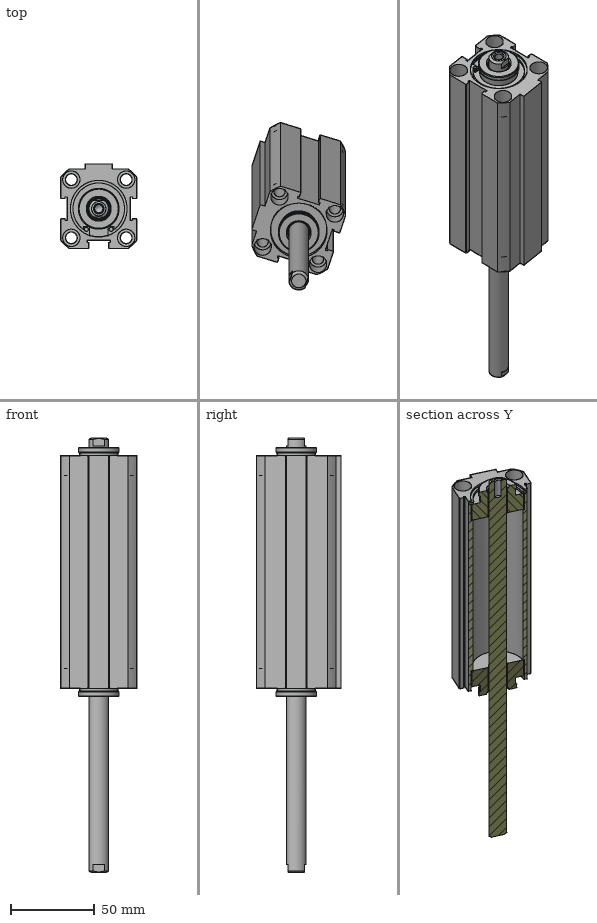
import cadquery as cq
import math


barrel_length = 140.0
half_width = 23.0
half_depth = 24.0
corner_cut = 5.4
corner_radius = math.hypot(half_width - corner_cut, half_depth)
rail_width = 16.5
rail_top = 27.0

slot_opening = 12.0
slot_undercut = 13.8
slot_chamfer = 0.4
slot_depth = 4.0
slot_lip = 2.8
port_slot_depth = 5.0
port_slot_lip = 3.8

mount_spacing_x = 33.0
mount_spacing_y = 35.0
mount_diameter = 6.9
counterbore_diameter = 10.4
counterbore_depth = 12.0

bore_diameter = 32.0
cover_seat_diameter = 34.1
cover_recess = 2.8
cover_thickness = 12.0

cover_diameter = 33.7
collar_diameter = 24.5
collar_neck_diameter = 23.0
collar_projection = 5.0
collar_lip_height = 3.4
collar_chamfer = 0.5
rod_hole_diameter = 12.54
seal_mouth_diameter = 15.0
seal_floor_diameter = 13.7
seal_depth = 1.5

ring_thickness = 1.5
ring_outer_diameter = 35.8
ring_inner_diameter = 31.0
ring_gap = 11.4
ear_width = 3.5
ear_inner_reach = 10.6
ear_hole_diameter = 2.5

rod_diameter = 12.0
rod_length = 261.5
rod_upper_projection = 10.7
rod_tip_diameter = 8.57
rod_chamfer_height = 1.0
flat_spacing = 10.0
flat_length = 4.8
bore_mouth_diameter = 6.25
bore_core_diameter = 4.92
bore_core_depth = 12.0
drill_point_angle = 118.0

seat_depth = cover_recess + cover_thickness


def cylinder(diameter, bottom, top):
    return cq.Workplane("XY").workplane(offset=bottom).circle(diameter / 2).extrude(top - bottom)


def block(x_range, y_range, bottom, top):
    """Upright box between two X limits, two Y limits and two heights."""
    return cq.Workplane("XY").box(
        x_range[1] - x_range[0], y_range[1] - y_range[0], top - bottom, centered=False
    ).translate((x_range[0], y_range[0], bottom))


def t_slot(face_distance, depth, lip, angle):
    """Full-length T-slot cutter, modelled on the -Y side and turned about Z."""
    opening = slot_opening / 2
    undercut = slot_undercut / 2
    floor = -face_distance + depth
    mouth = block((-opening, opening), (-face_distance, floor), 0, barrel_length)
    flare = cq.Workplane("XY").polyline([
        (-opening - slot_chamfer, -face_distance),
        (opening + slot_chamfer, -face_distance),
        (opening, -face_distance + slot_chamfer),
        (-opening, -face_distance + slot_chamfer),
    ]).close().extrude(barrel_length)
    head = block((-undercut, undercut), (-face_distance + lip, floor), 0, barrel_length)
    return mouth.union(flare).union(head).rotate((0, 0, 0), (0, 0, 1), angle)


def make_barrel():
    body = cq.Workplane("XY").rect(2 * half_width, 2 * half_depth).extrude(barrel_length)
    body = body.intersect(cylinder(2 * corner_radius, 0, barrel_length))
    body = body.union(block((-rail_width / 2, rail_width / 2), (0, rail_top), 0, barrel_length))

    body = body.cut(t_slot(half_depth, port_slot_depth, port_slot_lip, 0))
    for angle in (90, -90):
        body = body.cut(t_slot(half_width, slot_depth, slot_lip, angle))

    mounts = cq.Workplane("XY").rect(mount_spacing_x, mount_spacing_y, forConstruction=True).vertices()
    body = body.cut(mounts.circle(mount_diameter / 2).extrude(barrel_length))
    counterbores = mounts.circle(counterbore_diameter / 2).extrude(counterbore_depth)
    body = body.cut(counterbores)
    body = body.cut(counterbores.translate((0, 0, barrel_length - counterbore_depth)))

    body = body.cut(cylinder(bore_diameter, 0, barrel_length))
    body = body.cut(cylinder(cover_seat_diameter, 0, seat_depth))
    body = body.cut(cylinder(cover_seat_diameter, barrel_length - seat_depth, barrel_length))

    ring_bottom = barrel_length - cover_recess
    return body.cut(cylinder(ring_outer_diameter, ring_bottom, ring_bottom + ring_thickness))


def make_upper_cover():
    """Cover disc, necked collar and tapered seal recess around the rod."""
    disc_bottom = barrel_length - seat_depth
    disc_top = barrel_length - cover_recess
    collar_top = barrel_length + collar_projection
    disc = cylinder(cover_diameter, disc_bottom, disc_top)
    neck = cylinder(collar_neck_diameter, disc_top, collar_top)
    lip = cylinder(collar_diameter, collar_top - collar_lip_height, collar_top)
    lip = lip.edges().chamfer(collar_chamfer)
    cover = disc.union(neck).union(lip)
    cover = cover.cut(cylinder(rod_hole_diameter, disc_bottom, collar_top))
    seal_recess = (
        cq.Workplane("XY").workplane(offset=collar_top - seal_depth).circle(seal_floor_diameter / 2)
        .workplane(offset=seal_depth).circle(seal_mouth_diameter / 2).loft()
    )
    return cover.cut(seal_recess)


def make_retaining_ring():
    """Open ring with two drilled ears beside the gap on the -Y side."""
    bottom = barrel_length - cover_recess
    top = bottom + ring_thickness
    gap = ring_gap / 2
    ear_end = gap + ear_width
    full_disc = cylinder(ring_outer_diameter, bottom, top)
    ring = full_disc.cut(cylinder(ring_inner_diameter, bottom, top))
    ears = block((-ear_end, ear_end), (-ring_outer_diameter / 2, -ear_inner_reach), bottom, top)
    hole_y = -ear_inner_reach - ear_width / 2
    ring = ring.union(ears.intersect(full_disc))
    ring = ring.cut(block((-gap, gap), (-ring_outer_diameter, 0), bottom, top))
    for side in (-1, 1):
        hole = cylinder(ear_hole_diameter, bottom, top)
        ring = ring.cut(hole.translate((side * (gap + ear_width / 2), hole_y, 0)))
    collar_clearance = cylinder(collar_neck_diameter, bottom, top)
    return ring.cut(collar_clearance)


def end_bore():
    """Countersunk bore with a drill point, measured down from Z = 0."""
    mouth_radius = bore_mouth_diameter / 2
    core_radius = bore_core_diameter / 2
    point_height = core_radius / math.tan(math.radians(drill_point_angle / 2))
    profile = cq.Workplane("XZ").polyline([
        (0, 0),
        (mouth_radius, 0),
        (core_radius, core_radius - mouth_radius),
        (core_radius, -bore_core_depth),
        (0, -bore_core_depth - point_height),
    ])
    return profile.close().revolve(360, (0, 0, 0), (0, 1, 0))


def make_rod():
    top = barrel_length + rod_upper_projection
    bottom = top - rod_length
    rod = cylinder(rod_diameter, bottom, top)
    for end in (">Z", "<Z"):
        rod = rod.faces(end).chamfer(rod_chamfer_height, (rod_diameter - rod_tip_diameter) / 2)
    for flat_bottom in (bottom, top - flat_length):
        flat_top = flat_bottom + flat_length
        for y_range in ((-rod_diameter, -flat_spacing / 2), (flat_spacing / 2, rod_diameter)):
            rod = rod.cut(block((-rod_diameter, rod_diameter), y_range, flat_bottom, flat_top))
    return rod.cut(end_bore().translate((0, 0, top)))


barrel = make_barrel()
upper_cover = make_upper_cover()
lower_cover = upper_cover.mirror("XY", (0, 0, barrel_length / 2))
retaining_ring = make_retaining_ring()
rod = make_rod()

result = cq.Compound.makeCompound(
    [barrel.val(), upper_cover.val(), lower_cover.val(), retaining_ring.val(), rod.val()]
)